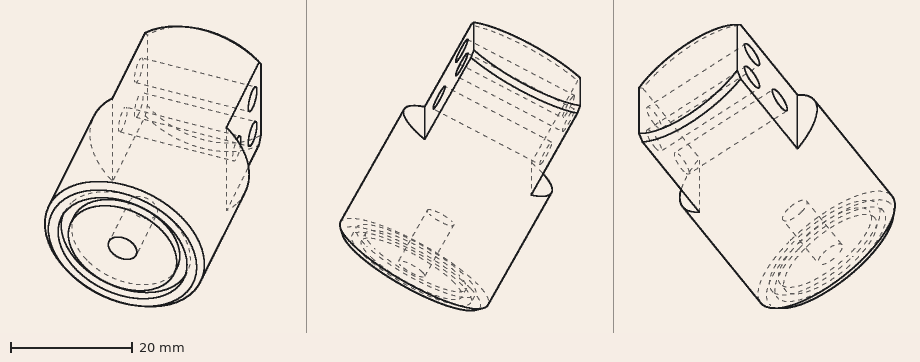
import cadquery as cq

body_length = 40.0
body_diameter = 28.0
edge_chamfer = 1.0

tongue_length = 17.0
tongue_width = 20.0

groove_outer_diameter = 22.6
groove_inner_diameter = 19.0
groove_depth = 1.5
bore_diameter = 5.0
bore_depth = 10.0

cross_hole_diameter = 4.2
rear_hole_setback = 4.2
rear_hole_spacing = 8.2
middle_hole_setback = 12.0


def front_sketch():
    """Plane on the front face, with its normal pointing into the body."""
    return cq.Workplane(cq.Plane(origin=(0, 0, 0), xDir=(1, 0, 0), normal=(0, 1, 0)))


def make_body():
    cylinder = front_sketch().circle(body_diameter / 2).extrude(body_length)
    return cylinder.faces("<Y or >Y").chamfer(edge_chamfer)


def make_side_cut(side):
    """Block that leaves a flat on the tongue; side is -1 or +1 along X."""
    cut_width = (body_diameter - tongue_width) / 2
    x_center = side * (tongue_width + cut_width) / 2
    y_center = body_length - tongue_length / 2
    return cq.Workplane("XY").box(cut_width, tongue_length, body_diameter).translate((x_center, y_center, 0))


def make_front_groove():
    rings = front_sketch().circle(groove_outer_diameter / 2).circle(groove_inner_diameter / 2)
    return rings.extrude(groove_depth)


def make_bore():
    return front_sketch().circle(bore_diameter / 2).extrude(bore_depth)


def make_cross_holes():
    rear_y = body_length - rear_hole_setback
    middle_y = body_length - middle_hole_setback
    centers = [
        (rear_y, rear_hole_spacing / 2),
        (rear_y, -rear_hole_spacing / 2),
        (middle_y, 0),
    ]
    holes = cq.Workplane("YZ").pushPoints(centers).circle(cross_hole_diameter / 2)
    return holes.extrude(body_diameter / 2, both=True)


result = make_body()
for side in (-1, 1):
    result = result.cut(make_side_cut(side))
result = result.cut(make_front_groove())
result = result.cut(make_bore())
result = result.cut(make_cross_holes())